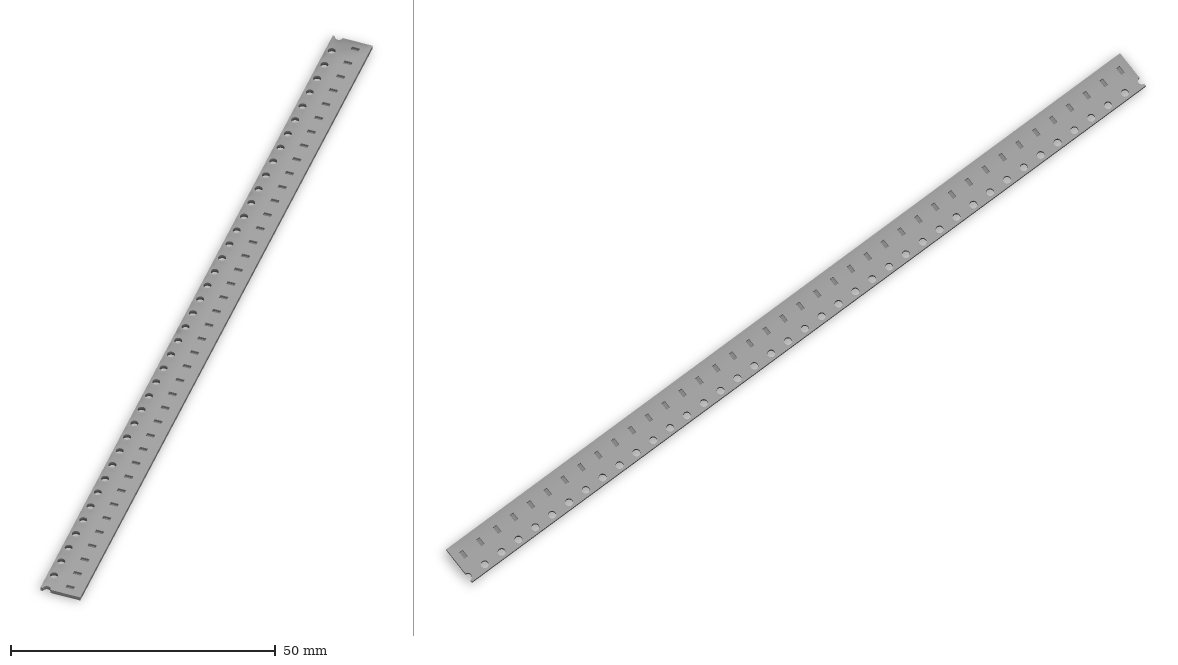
import cadquery as cq

tape_width = 8.0
tape_length = 160.0
tape_thickness = 0.8

pitch = 4.0
pitch_count = round(tape_length / pitch)
sprocket_diameter = 1.5
sprocket_edge_distance = 1.25
sprocket_x = -tape_width / 2 + sprocket_edge_distance

pocket_size_x = 1.6
pocket_size_y = 0.8
pocket_depth = 0.45
pocket_offset_from_sprocket = 4.0
pocket_x = sprocket_x + pocket_offset_from_sprocket


def row_points(x, count):
    """Points spaced one pitch apart along Y, centred on the tape length."""
    first_y = -(count - 1) * pitch / 2
    return [(x, first_y + i * pitch) for i in range(count)]


def tape_body():
    """Plain flat strip."""
    return cq.Workplane("XY").box(tape_width, tape_length, tape_thickness)


def top_plane():
    """Workplane on the top face of the tape."""
    return cq.Workplane("XY").workplane(offset=tape_thickness / 2)


def sprocket_holes():
    """Through holes; the first and last are cut in half by the tape ends."""
    points = row_points(sprocket_x, pitch_count + 1)
    return top_plane().pushPoints(points).circle(sprocket_diameter / 2).extrude(-tape_thickness)


def component_pockets():
    """Blind pockets open at the top face."""
    points = row_points(pocket_x, pitch_count)
    return top_plane().pushPoints(points).rect(pocket_size_x, pocket_size_y).extrude(-pocket_depth)


result = tape_body().cut(sprocket_holes()).cut(component_pockets())